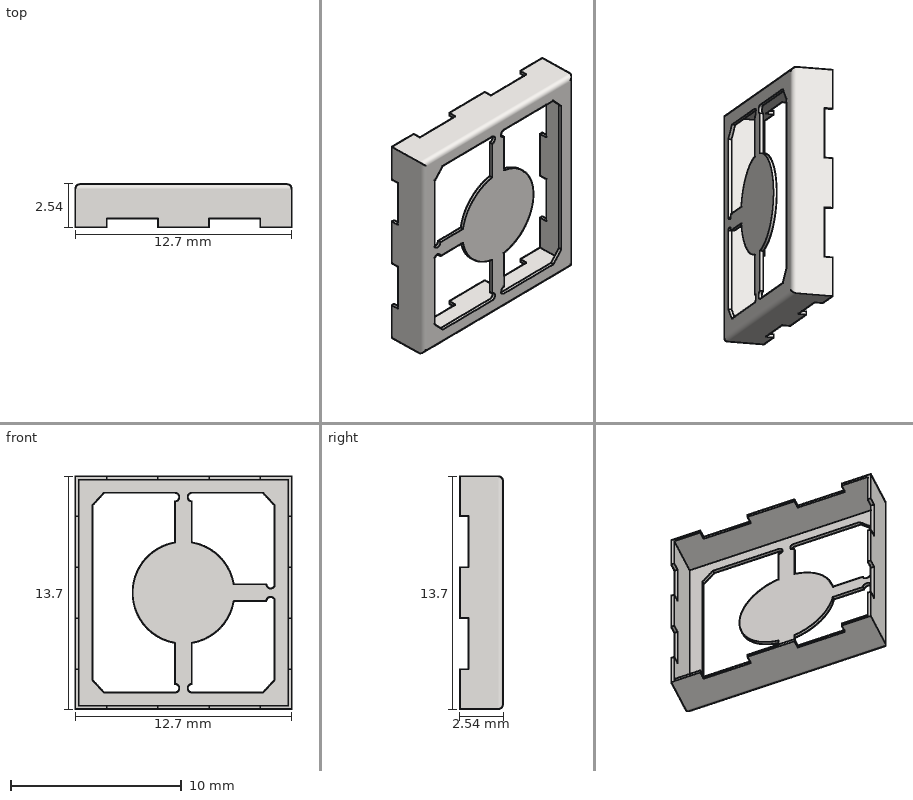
import cadquery as cq

WIDTH = 12.7
DEPTH = 2.54
HEIGHT = 13.67
SHEET = 0.2
EDGE_RADIUS = 0.3

WINDOW_WIDTH = 10.66
WINDOW_HEIGHT = 11.7
CORNER_CUT_X = 0.67
CORNER_CUT_Z = 0.72

DISC_RADIUS = 3.0
ARM_WIDTH = 1.0
NECK_RADIUS = 0.25
SIDE_NECK_INSET = 0.22

NOTCH_WIDTH = 3.0
NOTCH_DEPTH = 0.5
NOTCH_PITCH = 2 * NOTCH_WIDTH

BACK = DEPTH / 2
FRONT = -DEPTH / 2


def plate_prism(sketch):
    """Extrude a sketch drawn on the plate's outer face through the sheet."""
    return sketch.extrude(SHEET)


def plate_plane():
    """XZ plane on the outer face; extrusion runs toward -Y."""
    return cq.Workplane("XZ", origin=(0, BACK, 0))


def make_shell():
    body = cq.Workplane("XY").box(WIDTH, DEPTH, HEIGHT)
    body = body.faces(">Y").edges().fillet(EDGE_RADIUS)
    cavity = cq.Workplane("XY").box(WIDTH - 2 * SHEET, DEPTH, HEIGHT - 2 * SHEET)
    return body.cut(cavity.translate((0, -SHEET, 0)))


def make_window():
    x = WINDOW_WIDTH / 2
    z = WINDOW_HEIGHT / 2
    x_cut = x - CORNER_CUT_X
    z_cut = z - CORNER_CUT_Z
    outline = [
        (x_cut, z), (x, z_cut), (x, -z_cut), (x_cut, -z),
        (-x_cut, -z), (-x, -z_cut), (-x, z_cut), (-x_cut, z),
    ]
    return plate_prism(plate_plane().polyline(outline).close())


def make_arm(reach, neck_inset, angle):
    """Arm from the centre to the window edge, necked by a round bite on each side."""
    arm = plate_prism(plate_plane().center(reach / 2, 0).rect(reach, ARM_WIDTH))
    bite_centres = [(reach - neck_inset, side * ARM_WIDTH / 2) for side in (-1, 1)]
    bites = plate_prism(plate_plane().pushPoints(bite_centres).circle(NECK_RADIUS))
    return arm.cut(bites).rotate((0, 0, 0), (0, 1, 0), angle)


def make_notches():
    """Two notches per wall, each cut straight across to the opposite wall."""
    size_y = 2 * NOTCH_DEPTH
    across_z = cq.Workplane("XY").box(NOTCH_WIDTH, size_y, HEIGHT)
    across_x = cq.Workplane("XY").box(WIDTH, size_y, NOTCH_WIDTH)
    notches = cq.Workplane("XY")
    for side in (-1, 1):
        offset = side * NOTCH_PITCH / 2
        notches = notches.add(across_z.translate((offset, FRONT, 0)))
        notches = notches.add(across_x.translate((0, FRONT, offset)))
    return notches.combine()


result = make_shell().cut(make_window()).cut(make_notches())
result = result.union(plate_prism(plate_plane().circle(DISC_RADIUS)))
result = result.union(make_arm(WINDOW_WIDTH / 2, SIDE_NECK_INSET, 0))
for arm_angle in (-90, 90):
    result = result.union(make_arm(WINDOW_HEIGHT / 2, NECK_RADIUS, arm_angle))